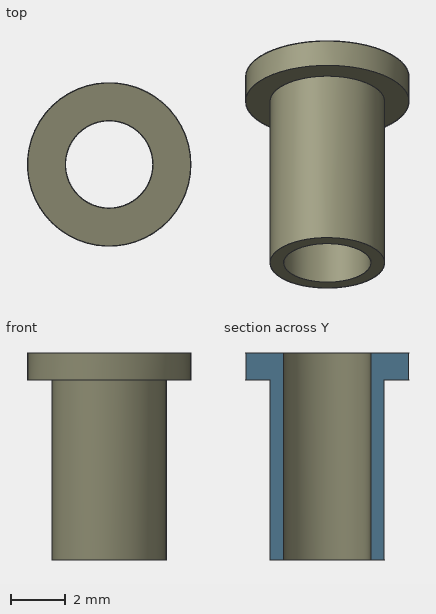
import cadquery as cq

total_height = 7.6
flange_diameter = 6.0
flange_thickness = 1.0
sleeve_diameter = 4.2
bore_diameter = 3.2

sleeve_length = total_height - flange_thickness

sleeve = cq.Workplane("XY").circle(sleeve_diameter / 2).extrude(sleeve_length)
flange = (
    cq.Workplane("XY")
    .workplane(offset=sleeve_length)
    .circle(flange_diameter / 2)
    .extrude(flange_thickness)
)

bore = cq.Workplane("XY").circle(bore_diameter / 2).extrude(total_height)

result = sleeve.union(flange).cut(bore)